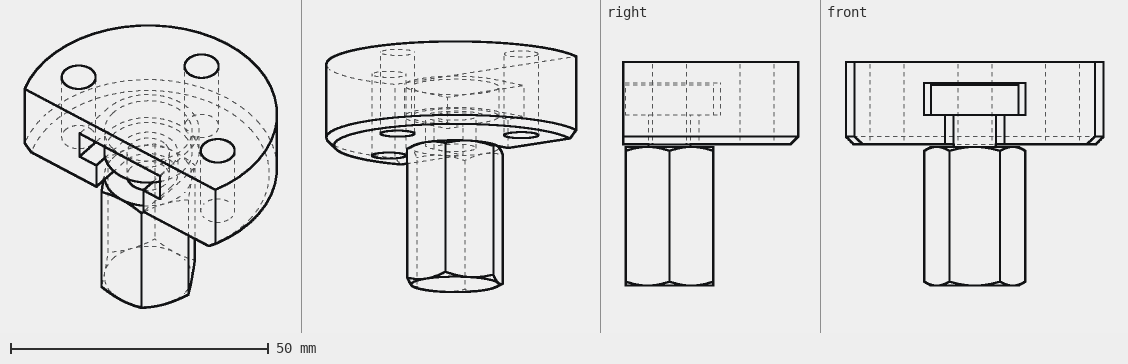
import cadquery as cq
import math

disc_diameter = 50.0
flat_offset = 9.0
plate_thickness = 16.0
plate_chamfer = 1.5

hole_diameter = 6.6
hole_circle_radius = 17.0
hole_angles = (0, 90, 180)

slot_top_depth = 4.15
ledge_depth = 10.3
head_slot_width = 19.7
neck_slot_width = 11.5

head_diameter = 17.0
head_clearance = 0.35
neck_diameter = 8.2
hex_gap = 0.5
hex_across_flats = 17.0
stud_bottom_depth = 43.4
hex_chamfer_angle = 30.0

plate_bottom = -plate_thickness
ledge_z = -ledge_depth
head_height = ledge_depth - slot_top_depth - head_clearance
hex_top = plate_bottom - hex_gap
hex_bottom = -stud_bottom_depth
hex_height = hex_top - hex_bottom
hex_across_corners = hex_across_flats / math.cos(math.radians(30))


def make_slot(width, bottom, height):
    """Slot running from the axis out through the flat, with a semicircular inner end."""
    half_width = width / 2
    return (
        cq.Workplane("XY", origin=(0, 0, bottom))
        .moveTo(-half_width, -flat_offset)
        .lineTo(half_width, -flat_offset)
        .lineTo(half_width, 0)
        .threePointArc((0, half_width), (-half_width, 0))
        .close()
        .extrude(height)
    )


def make_plate():
    """Chamfered disc with a flat, three through holes and a T-slot."""
    disc = (
        cq.Workplane("XY", origin=(0, 0, plate_bottom))
        .circle(disc_diameter / 2)
        .extrude(plate_thickness)
        .faces("<Z")
        .chamfer(plate_chamfer)
    )
    cut_depth = disc_diameter / 2 - flat_offset
    front_segment = cq.Workplane("XY").box(
        disc_diameter, cut_depth, plate_thickness, centered=(True, False, False)
    ).translate((0, -disc_diameter / 2, plate_bottom))

    hole_centers = [
        (
            hole_circle_radius * math.cos(math.radians(angle)),
            hole_circle_radius * math.sin(math.radians(angle)),
        )
        for angle in hole_angles
    ]
    holes = (
        cq.Workplane("XY", origin=(0, 0, plate_bottom))
        .pushPoints(hole_centers)
        .circle(hole_diameter / 2)
        .extrude(plate_thickness)
    )
    head_slot = make_slot(head_slot_width, ledge_z, ledge_depth - slot_top_depth)
    neck_slot = make_slot(neck_slot_width, plate_bottom, plate_thickness - ledge_depth)
    return disc.cut(front_segment).cut(holes).cut(head_slot).cut(neck_slot)


def make_hexagon():
    """Hexagonal shank with corners along X, conically chamfered at both ends."""
    prism = (
        cq.Workplane("XY", origin=(0, 0, hex_bottom))
        .polygon(6, hex_across_corners)
        .extrude(hex_height)
    )
    corner_radius = hex_across_corners / 2
    end_radius = hex_across_flats / 2
    chamfer_height = (corner_radius - end_radius) * math.tan(math.radians(hex_chamfer_angle))
    chamfer_envelope = (
        cq.Workplane("XZ")
        .moveTo(0, hex_bottom)
        .lineTo(end_radius, hex_bottom)
        .lineTo(corner_radius, hex_bottom + chamfer_height)
        .lineTo(corner_radius, hex_top - chamfer_height)
        .lineTo(end_radius, hex_top)
        .lineTo(0, hex_top)
        .close()
        .revolve(360, (0, 0, 0), (0, 1, 0))
    )
    return prism.intersect(chamfer_envelope)


def make_stud():
    """Head resting on the slot ledge, joined by the neck to the hexagon."""
    head = (
        cq.Workplane("XY", origin=(0, 0, ledge_z))
        .circle(head_diameter / 2)
        .extrude(head_height)
    )
    neck = (
        cq.Workplane("XY", origin=(0, 0, hex_top))
        .circle(neck_diameter / 2)
        .extrude(ledge_z - hex_top)
    )
    return make_hexagon().union(neck).union(head)


plate = make_plate()
stud = make_stud()

result = cq.Compound.makeCompound([plate.val(), stud.val()])